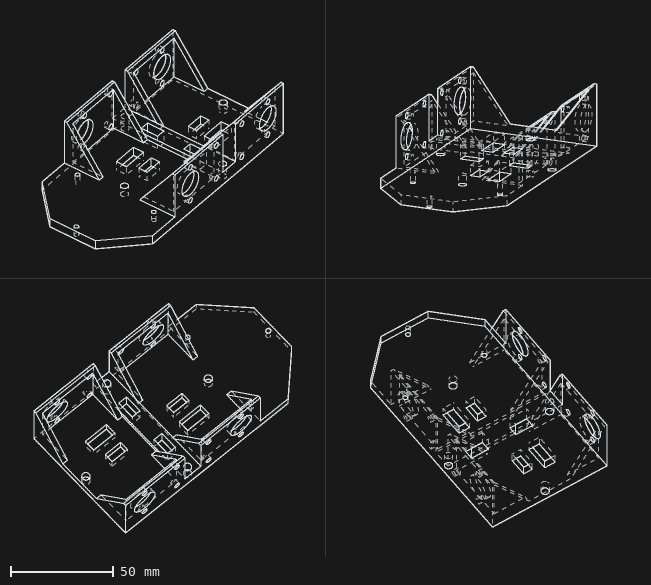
import cadquery as cq


length = 126.0
width = 68.0
base_thickness = 5.3
nose_chamfer = 20.0

strip_width = 10.3
strip_height = 8.0
bay_length = 38.8
back_y = strip_width / 2 + bay_length
front_y = back_y - length

total_height = 32.0
wall_thickness = 3.0
rib_reach = 21.5
rib_top = 1.5

shaft_diameter = 13.5
shaft_to_back = 12.6
shaft_z = 18.0
screw_diameter = 3.0
screw_pitch = 21.0

mount_diameter = 4.0
mount_x = 30.0
mount_y = 40.0
nose_hole_diameter = 2.4
nose_pair_x = 23.4
nose_pair_to_back = 91.1
nose_tip_setback = 3.0

slot_length = 10.0
slot_width = 5.0
strip_slot_x = 13.1
bay_slot_y = 20.0
large_slot_length = 13.7
large_slot_width = 6.2
large_slot_x = 11.2
large_slot_y = 20.8


def make_base():
    half = width / 2
    nose_half = half - nose_chamfer
    shoulder_y = front_y + nose_chamfer
    outline = [
        (-half, back_y),
        (-half, shoulder_y),
        (-nose_half, front_y),
        (nose_half, front_y),
        (half, shoulder_y),
        (half, back_y),
    ]
    plate = cq.Workplane("XY").polyline(outline).close().extrude(base_thickness)
    strip = cq.Workplane("XY").box(width, strip_width, strip_height, centered=(True, True, False))
    return plate.union(strip)


def make_left_bracket():
    """Left wall of the rear bay, open inside between its two sloped ribs."""
    outer_x = -width / 2
    profile = [
        (outer_x, 0),
        (outer_x + rib_reach, 0),
        (outer_x + rib_reach, base_thickness),
        (outer_x + rib_top, total_height),
        (outer_x, total_height),
    ]
    wedge = cq.Workplane("XZ", origin=(0, back_y, 0)).polyline(profile).close().extrude(bay_length)
    recess = cq.Workplane("XY").box(
        rib_reach, bay_length - 2 * wall_thickness, total_height, centered=(False, True, False)
    )
    bay_centre_y = back_y - bay_length / 2
    return wedge.cut(recess.translate((outer_x + wall_thickness, bay_centre_y, base_thickness)))


def cross_hole(y, z, diameter):
    """Cylinder along X that pierces both side walls."""
    return cq.Workplane("YZ", origin=(0, y, z)).circle(diameter / 2).extrude(width, both=True)


def base_holes(points, diameter):
    return cq.Workplane("XY").pushPoints(points).circle(diameter / 2).extrude(strip_height)


def base_slots(points, size_x, size_y):
    return cq.Workplane("XY").pushPoints(points).rect(size_x, size_y).extrude(strip_height)


body = make_base()
left_bracket = make_left_bracket()
rear_pair = left_bracket.union(left_bracket.mirror("YZ"))
body = body.union(rear_pair).union(rear_pair.mirror("XZ"))

shaft_y = back_y - shaft_to_back
for side in (-1, 1):
    body = body.cut(cross_hole(side * shaft_y, shaft_z, shaft_diameter))
    for screw_y in (shaft_y, shaft_y - screw_pitch):
        for screw_z in (shaft_z - screw_pitch / 2, shaft_z + screw_pitch / 2):
            body = body.cut(cross_hole(side * screw_y, screw_z, screw_diameter))

mount_points = [(-mount_x, 0), (mount_x, 0), (0, -mount_y), (0, mount_y)]
nose_pair_y = back_y - nose_pair_to_back
nose_points = [(-nose_pair_x, nose_pair_y), (nose_pair_x, nose_pair_y), (0, front_y + nose_tip_setback)]
body = body.cut(base_holes(mount_points, mount_diameter))
body = body.cut(base_holes(nose_points, nose_hole_diameter))

strip_slots = [(-strip_slot_x, 0), (strip_slot_x, 0)]
bay_slots = [(0, -bay_slot_y), (0, bay_slot_y)]
large_slots = [(-large_slot_x, -large_slot_y), (large_slot_x, large_slot_y)]
body = body.cut(base_slots(strip_slots, slot_length, slot_width))
body = body.cut(base_slots(bay_slots, slot_width, slot_length))
body = body.cut(base_slots(large_slots, large_slot_width, large_slot_length))

result = body